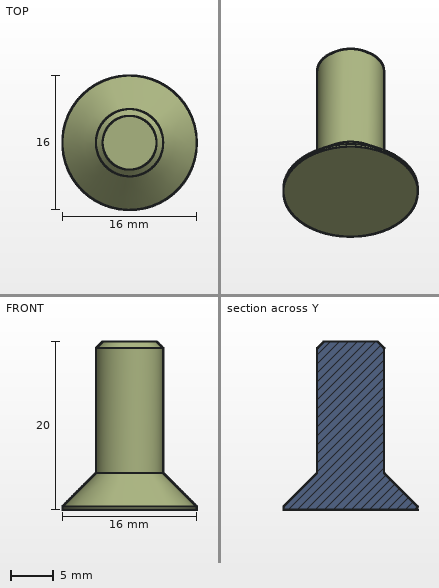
import cadquery as cq

total_length = 20.0
head_diameter = 16.0
shank_diameter = 8.0
rim_height = 0.4
tip_chamfer = 0.8

head_radius = head_diameter / 2
shank_radius = shank_diameter / 2
cone_height = head_radius - shank_radius
shank_start = rim_height + cone_height

half_section = [
    (0, 0),
    (head_radius, 0),
    (head_radius, rim_height),
    (shank_radius, shank_start),
    (shank_radius, total_length - tip_chamfer),
    (shank_radius - tip_chamfer, total_length),
    (0, total_length),
]

result = (
    cq.Workplane("XZ")
    .polyline(half_section)
    .close()
    .revolve(360, (0, 0, 0), (0, 1, 0))
)